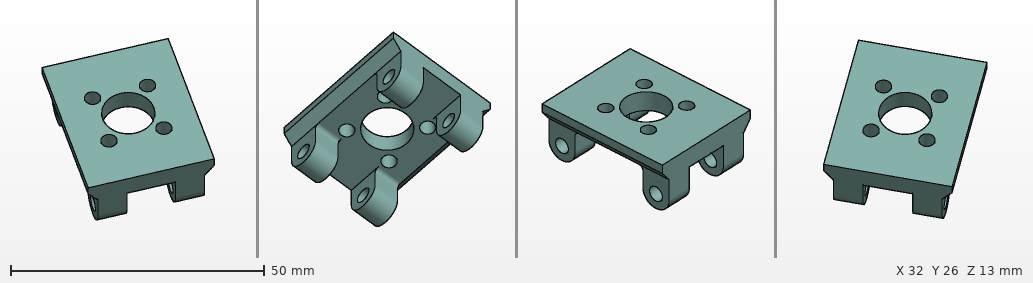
import cadquery as cq
import math

length = 32.0
width = 26.0
height = 13.0
rim_thickness = 2.0
plate_thickness = 4.5
lug_outer_span = 22.0

lug_gap = 10.0
lug_width = 7.0
lug_radius = lug_width / 2
pin_diameter = 3.4
root_fillet = 1.0

bore_diameter = 10.5
bolt_circle_diameter = 16.0
bolt_hole_diameter = 3.2

plate_bottom = height - plate_thickness
pin_height = lug_radius
lug_x = length / 2 - lug_radius
bolt_spacing = bolt_circle_diameter / math.sqrt(2)
lug_thickness = (lug_outer_span - lug_gap) / 2


def make_plate():
    """Plate with a straight rim and sloped undersides along both long edges."""
    rim_bottom = height - rim_thickness
    profile = [
        (-width / 2, height),
        (width / 2, height),
        (width / 2, rim_bottom),
        (lug_outer_span / 2, plate_bottom),
        (-lug_outer_span / 2, plate_bottom),
        (-width / 2, rim_bottom),
    ]
    return cq.Workplane("YZ").polyline(profile).close().extrude(length / 2, both=True)


def make_lug(side_x, y_end):
    """Round-ended lug at one end of the plate, filleted into it on the inner side.

    The lug occupies lug_thickness along Y, ending at y_end.
    """
    outer_x = side_x * length / 2
    inner_x = side_x * (length / 2 - lug_width)
    fillet_x = inner_x - side_x * root_fillet
    fillet_offset = root_fillet * (1 - math.sqrt(0.5))
    fillet_middle = (inner_x - side_x * fillet_offset, plate_bottom - fillet_offset)
    return (
        cq.Workplane("XZ", origin=(0, y_end, 0))
        .moveTo(outer_x, plate_bottom)
        .lineTo(outer_x, pin_height)
        .threePointArc((side_x * lug_x, 0), (inner_x, pin_height))
        .lineTo(inner_x, plate_bottom - root_fillet)
        .threePointArc(fillet_middle, (fillet_x, plate_bottom))
        .close()
        .extrude(lug_thickness)
    )


def cut_plate_holes(body):
    """Central bore and the square of bolt holes, all through the plate."""
    bore = cq.Workplane("XY").circle(bore_diameter / 2).extrude(height)
    bolts = (
        cq.Workplane("XY")
        .rarray(bolt_spacing, bolt_spacing, 2, 2)
        .circle(bolt_hole_diameter / 2)
        .extrude(height)
    )
    return body.cut(bore).cut(bolts)


def cut_pin_holes(body):
    """Pin holes along Y through each pair of lugs."""
    pins = (
        cq.Workplane("XZ", origin=(0, 0, pin_height))
        .pushPoints([(-lug_x, 0), (lug_x, 0)])
        .circle(pin_diameter / 2)
        .extrude(width / 2, both=True)
    )
    return body.cut(pins)


body = make_plate()
for side_x in (-1, 1):
    for y_end in (-lug_gap / 2, lug_outer_span / 2):
        body = body.union(make_lug(side_x, y_end))

result = cut_pin_holes(cut_plate_holes(body))